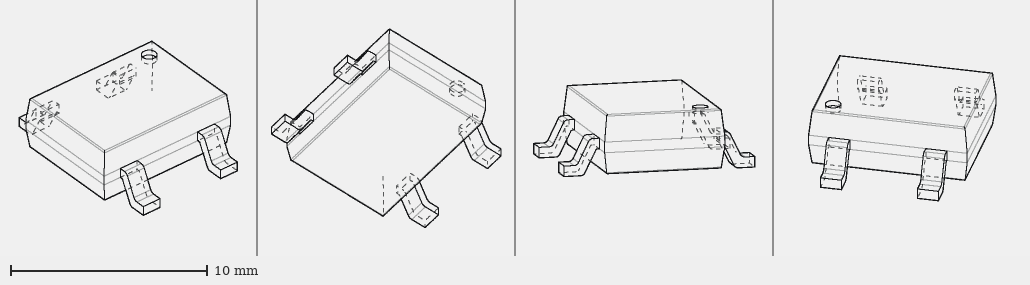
import cadquery as cq

SPAN_X = 10.05
BODY_Y = 8.32
TOP_Z = 3.3

BODY_X = 6.33
STANDOFF = 0.21
TAPER_INSET = 0.15
EDGE_RADIUS = 0.08

DIMPLE_DIAMETER = 0.79
DIMPLE_DEPTH = 0.3
DIMPLE_X = -2.14
DIMPLE_Y = 3.12

LEAD_THICKNESS = 0.55
LEAD_WIDTH = 1.11
LEAD_PITCH = 5.09
LEAD_TOP_Z = 1.91
FOOT_TOP_LENGTH = 0.68
SLOPE_RUN = 0.67
UNDERSIDE_SHIFT = 0.34
BEND_RADIUS = 0.26
INNER_BEND_RADIUS = 0.08

BAND_BOTTOM_Z = LEAD_TOP_Z - LEAD_THICKNESS


def make_tapered_half(start_z, end_z):
    """Loft from the full band outline to the smaller outer face, with its rim rounded."""
    half = (
        cq.Workplane("XY", origin=(0, 0, start_z))
        .rect(BODY_X, BODY_Y)
        .workplane(offset=end_z - start_z)
        .rect(BODY_X - 2 * TAPER_INSET, BODY_Y - 2 * TAPER_INSET)
        .loft(ruled=True)
    )
    outer_face = ">Z" if end_z > start_z else "<Z"
    return half.faces(outer_face).edges().fillet(EDGE_RADIUS)


def make_housing():
    band = (
        cq.Workplane("XY", origin=(0, 0, BAND_BOTTOM_Z))
        .rect(BODY_X, BODY_Y)
        .extrude(LEAD_THICKNESS)
    )
    upper_half = make_tapered_half(LEAD_TOP_Z, TOP_Z)
    lower_half = make_tapered_half(BAND_BOTTOM_Z, STANDOFF)
    dimple = (
        cq.Workplane("XY", origin=(DIMPLE_X, DIMPLE_Y, TOP_Z - DIMPLE_DEPTH))
        .circle(DIMPLE_DIAMETER / 2)
        .extrude(DIMPLE_DEPTH)
    )
    return band.union(upper_half).union(lower_half).cut(dimple)


def make_left_lead(center_y):
    """One lead on the -X side, extruded along Y around center_y."""
    toe_x = -SPAN_X / 2
    root_x = -BODY_X / 2
    upper_foot = (toe_x + FOOT_TOP_LENGTH, LEAD_THICKNESS)
    shoulder = (upper_foot[0] + SLOPE_RUN, LEAD_TOP_Z)
    lower_foot = (upper_foot[0] + UNDERSIDE_SHIFT, 0)
    inner_bend = (shoulder[0] + UNDERSIDE_SHIFT, BAND_BOTTOM_Z)
    outline = [
        (toe_x, 0),
        (toe_x, LEAD_THICKNESS),
        upper_foot,
        shoulder,
        (root_x, LEAD_TOP_Z),
        (root_x, BAND_BOTTOM_Z),
        inner_bend,
        lower_foot,
    ]
    lead = (
        cq.Workplane("XZ", origin=(0, center_y, 0))
        .polyline(outline)
        .close()
        .extrude(LEAD_WIDTH / 2, both=True)
    )
    bends = [
        (upper_foot, BEND_RADIUS),
        (shoulder, BEND_RADIUS),
        (lower_foot, BEND_RADIUS),
        (inner_bend, INNER_BEND_RADIUS),
    ]
    for (x, z), radius in bends:
        bend_edge = cq.selectors.NearestToPointSelector((x, center_y, z))
        lead = lead.edges("|Y").edges(bend_edge).fillet(radius)
    return lead


housing = make_housing()

leads = []
for row in (-1, 1):
    left_lead = make_left_lead(row * LEAD_PITCH / 2)
    leads.append(left_lead.val())
    leads.append(left_lead.mirror("YZ").val())

result = cq.Compound.makeCompound([housing.val(), *leads])